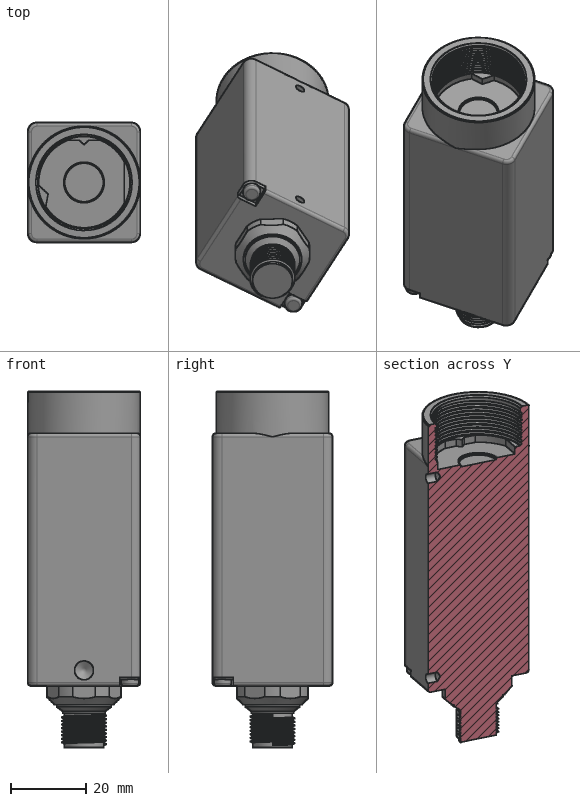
import cadquery as cq
import math

TOTAL_LENGTH = 94.95

BODY_X = 30.0
BODY_Y = 32.0
BODY_HEIGHT = 67.3
CORNER_RADIUS = 2.5
RIM_FILLET = 0.95

COLLAR_DIAMETER = BODY_X
COLLAR_HEIGHT = 11.2
COLLAR_CHAMFER = 0.3
COLLAR_TOP = BODY_HEIGHT + COLLAR_HEIGHT
BORE_DIAMETER = 24.5
BORE_DEPTH = 11.5
BORE_MOUTH_LAND = 0.1
BORE_THREAD_DIAMETER = 25.6
BORE_THREAD_LENGTH = 10.0
BORE_THREAD_TURNS = 10
BORE_THREAD_RUNOUT = 0.5

RECESS_DIAMETER = 24.1
RECESS_DEPTH = 2.1
RECESS_FLAT_X = 10.7
RECESS_FLAT_Y = 11.2
TAB_TIP_RADIUS = 10.1
TAB_LENGTH = 2.4
BACK_TAB_ANGLE = 90
BACK_TAB_HALF_WIDTH = 2.6
SIDE_TAB_ANGLE = 198
SIDE_TAB_HALF_WIDTH = 4.4
WINDOW_DIAMETER = 10.8
WINDOW_DEPTH = 0.6
WINDOW_CHAMFER = 0.3

NUT_ACROSS_FLATS = 19.0
NUT_DIAMETER = 19.9
NUT_TURN = 30
NUT_STRAIGHT = 2.85
NUT_END = 5.0
NUT_END_RADIUS = 7.8
FLANGE_RADIUS = 7.3
FLANGE_STRAIGHT = 5.5
FLANGE_END = 6.7
PLUG_LENGTH = TOTAL_LENGTH - COLLAR_TOP
PLUG_CORE_RADIUS = 5.3
PLUG_NECK_RADIUS = 5.7
PLUG_NECK_END = 7.3
PLUG_THREAD_DIAMETER = 12.0
PLUG_THREAD_END = 15.5
PLUG_THREAD_LENGTH = 7.6
PLUG_THREAD_TURNS = 8

DRILL_POINT_ANGLE = 118
HOLE_OFFSET = 4.2
FRONT_HOLE_DIAMETER = 5.0
FRONT_HOLE_DEPTH = 3.8
SIDE_HOLE_DIAMETER = 2.6
SIDE_HOLE_DEPTH = 2.85
UPPER_SIDE_HOLE_OFFSET = 4.6

NOTCH_SIZE = 5.5
NOTCH_HEIGHT = 1.7
NOTCH_CHAMFER = 0.6
SCREW_INSET = 2.8
SCREW_DIAMETER = 4.7
SCREW_FILLET = 0.8
NOTCH_CORNERS = [(1, -1), (-1, 1)]

THREAD_FLANK_SHARE = 0.42

OVERLAP = 0.1


def cylinder(diameter, bottom, top):
    """Vertical cylinder on the Z axis."""
    return cq.Workplane("XY").workplane(offset=bottom).circle(diameter / 2).extrude(top - bottom)


def revolve_profile(profile):
    """Solid of revolution about the Z axis from (radius, height) points."""
    return cq.Workplane("XZ").polyline(profile).close().revolve(360, (0, 0, 0), (0, 1, 0))


def thread_ridge(root_radius, crest_radius, start, length, turns):
    """Helical ridge of triangular section whose base sinks slightly behind the root radius."""
    pitch = length / turns
    sink = math.copysign(OVERLAP, root_radius - crest_radius)
    half_width = THREAD_FLANK_SHARE * pitch
    helix = cq.Workplane(cq.Wire.makeHelix(pitch, length, root_radius)).translate((0, 0, start))
    section = [
        (root_radius + sink, start - half_width),
        (crest_radius, start),
        (root_radius + sink, start + half_width),
    ]
    return cq.Workplane("XZ").polyline(section).close().sweep(helix, isFrenet=True)


def make_housing():
    """Box with rounded upright corners and rounded top and bottom rims."""
    box = cq.Workplane("XY").box(BODY_X, BODY_Y, BODY_HEIGHT, centered=(True, True, False))
    box = box.edges("|Z").fillet(CORNER_RADIUS)
    return box.faces("<Z or >Z").edges().fillet(RIM_FILLET)


def cut_notch(body, side_x, side_y):
    """Open a square notch at one bottom corner, chamfer its rim and seat a screw head in it."""
    corner_x = side_x * BODY_X / 2
    corner_y = side_y * BODY_Y / 2
    notch = cq.Workplane("XY").box(2 * NOTCH_SIZE, 2 * NOTCH_SIZE, 2 * NOTCH_HEIGHT)
    notch = notch.translate((corner_x, corner_y, 0))
    body = body.cut(notch)

    def ceiling_edges(inset):
        """Selector for the notch ceiling edges centred at least inset away from both side faces."""
        reach = NOTCH_SIZE + OVERLAP
        return cq.selectors.BoxSelector(
            (corner_x - side_x * reach, corner_y - side_y * reach, NOTCH_HEIGHT - OVERLAP),
            (corner_x - side_x * inset, corner_y - side_y * inset, NOTCH_HEIGHT + OVERLAP),
        )

    outer_edges = ceiling_edges(-OVERLAP) - ceiling_edges(CORNER_RADIUS)
    body = body.edges(outer_edges).chamfer(NOTCH_CHAMFER)

    screw = cylinder(SCREW_DIAMETER, 0, NOTCH_HEIGHT + OVERLAP)
    screw = screw.faces("<Z").edges().fillet(SCREW_FILLET)
    screw = screw.translate((corner_x - side_x * SCREW_INSET, corner_y - side_y * SCREW_INSET, 0))
    return body.union(screw)


def blind_hole(diameter, depth):
    """Drilled hole along +X from the origin, ending in a drill point."""
    radius = diameter / 2
    point = radius / math.tan(math.radians(DRILL_POINT_ANGLE / 2))
    profile = [(-OVERLAP, 0), (-OVERLAP, radius), (depth, radius), (depth + point, 0)]
    return cq.Workplane("XY").polyline(profile).close().revolve(360, (0, 0, 0), (1, 0, 0))


def make_tab(angle, half_width):
    """Pointed tab whose tip faces the Z axis."""
    base = TAB_TIP_RADIUS + TAB_LENGTH
    outline = [(TAB_TIP_RADIUS, 0), (base, half_width), (base, -half_width)]
    tab = cq.Workplane("XY").polyline(outline).close().extrude(RECESS_DEPTH)
    return tab.rotate((0, 0, 0), (0, 0, 1), angle)


def make_recess():
    """Space under the bore: a disc trimmed by the two flats and the two tabs, plus the window."""
    radius = RECESS_DIAMETER / 2
    recess = cylinder(RECESS_DIAMETER, 0, RECESS_DEPTH)
    flats = cq.Workplane("XY").box(
        radius + RECESS_FLAT_X, radius + RECESS_FLAT_Y, RECESS_DEPTH, centered=False
    )
    recess = recess.intersect(flats.translate((-radius, -radius, 0)))
    recess = recess.cut(make_tab(BACK_TAB_ANGLE, BACK_TAB_HALF_WIDTH))
    recess = recess.cut(make_tab(SIDE_TAB_ANGLE, SIDE_TAB_HALF_WIDTH))

    window_radius = WINDOW_DIAMETER / 2
    dish_profile = [
        (0, 0),
        (window_radius, 0),
        (window_radius - WINDOW_CHAMFER, -WINDOW_CHAMFER),
        (window_radius - WINDOW_CHAMFER, -WINDOW_DEPTH),
        (0, -WINDOW_DEPTH),
    ]
    dish = revolve_profile(dish_profile)
    return recess.union(dish).translate((0, 0, COLLAR_TOP - BORE_DEPTH - RECESS_DEPTH))


def make_nut():
    """Hexagon trimmed to a circle and tapered at its lower end."""
    hexagon = cq.Workplane("XY").polygon(6, NUT_ACROSS_FLATS, circumscribed=True).extrude(-NUT_END)
    hexagon = hexagon.rotate((0, 0, 0), (0, 0, 1), NUT_TURN)
    nut_radius = NUT_DIAMETER / 2
    profile = [
        (0, 0),
        (nut_radius, 0),
        (nut_radius, -NUT_STRAIGHT),
        (NUT_END_RADIUS, -NUT_END),
        (0, -NUT_END),
    ]
    blank = revolve_profile(profile)
    return hexagon.intersect(blank)


def make_plug():
    """Flange, neck and externally threaded core of the connector."""
    profile = [
        (0, 0),
        (FLANGE_RADIUS, 0),
        (FLANGE_RADIUS, -FLANGE_STRAIGHT),
        (PLUG_NECK_RADIUS, -FLANGE_END),
        (PLUG_NECK_RADIUS, -PLUG_NECK_END),
        (PLUG_CORE_RADIUS, -PLUG_NECK_END),
        (PLUG_CORE_RADIUS, -PLUG_LENGTH),
        (0, -PLUG_LENGTH),
    ]
    core = revolve_profile(profile)
    ridge = thread_ridge(
        PLUG_CORE_RADIUS, PLUG_THREAD_DIAMETER / 2, -PLUG_THREAD_END, PLUG_THREAD_LENGTH, PLUG_THREAD_TURNS
    )
    return core.union(ridge)


def make_collar():
    """Solid collar whose foot reaches below the rounded rim of the housing."""
    collar = cylinder(COLLAR_DIAMETER, BODY_HEIGHT - 2 * RIM_FILLET, COLLAR_TOP)
    return collar.faces(">Z").edges().chamfer(COLLAR_CHAMFER)


def make_bore():
    """Collar bore widened to the thread diameter by a tapered mouth."""
    bore = cylinder(BORE_DIAMETER, COLLAR_TOP - BORE_DEPTH, COLLAR_TOP)
    mouth_depth = (BORE_THREAD_DIAMETER - BORE_DIAMETER) / 2
    mouth = cylinder(BORE_THREAD_DIAMETER, COLLAR_TOP - mouth_depth, COLLAR_TOP)
    mouth = mouth.faces("<Z").edges().chamfer(mouth_depth - BORE_MOUTH_LAND)
    return bore.union(mouth)


def make_bore_thread():
    """Helical groove of the bore thread, between its floor and its tapered mouth."""
    return thread_ridge(
        BORE_DIAMETER / 2,
        BORE_THREAD_DIAMETER / 2,
        COLLAR_TOP - BORE_DEPTH + BORE_THREAD_RUNOUT,
        BORE_THREAD_LENGTH,
        BORE_THREAD_TURNS,
    )


def cut_side_holes(body):
    """One larger hole in the -Y face and two small ones in the -X face."""
    front_hole = blind_hole(FRONT_HOLE_DIAMETER, FRONT_HOLE_DEPTH).rotate((0, 0, 0), (0, 0, 1), 90)
    body = body.cut(front_hole.translate((0, -BODY_Y / 2, HOLE_OFFSET)))
    side_hole = blind_hole(SIDE_HOLE_DIAMETER, SIDE_HOLE_DEPTH)
    for height in (HOLE_OFFSET, BODY_HEIGHT - UPPER_SIDE_HOLE_OFFSET):
        body = body.cut(side_hole.translate((-BODY_X / 2, 0, height)))
    return body


body = make_housing()
for side_x, side_y in NOTCH_CORNERS:
    body = cut_notch(body, side_x, side_y)
body = body.union(make_collar())
body = body.cut(make_bore()).cut(make_recess())
body = cut_side_holes(body)
body = body.union(make_nut()).union(make_plug())
result = body.cut(make_bore_thread())